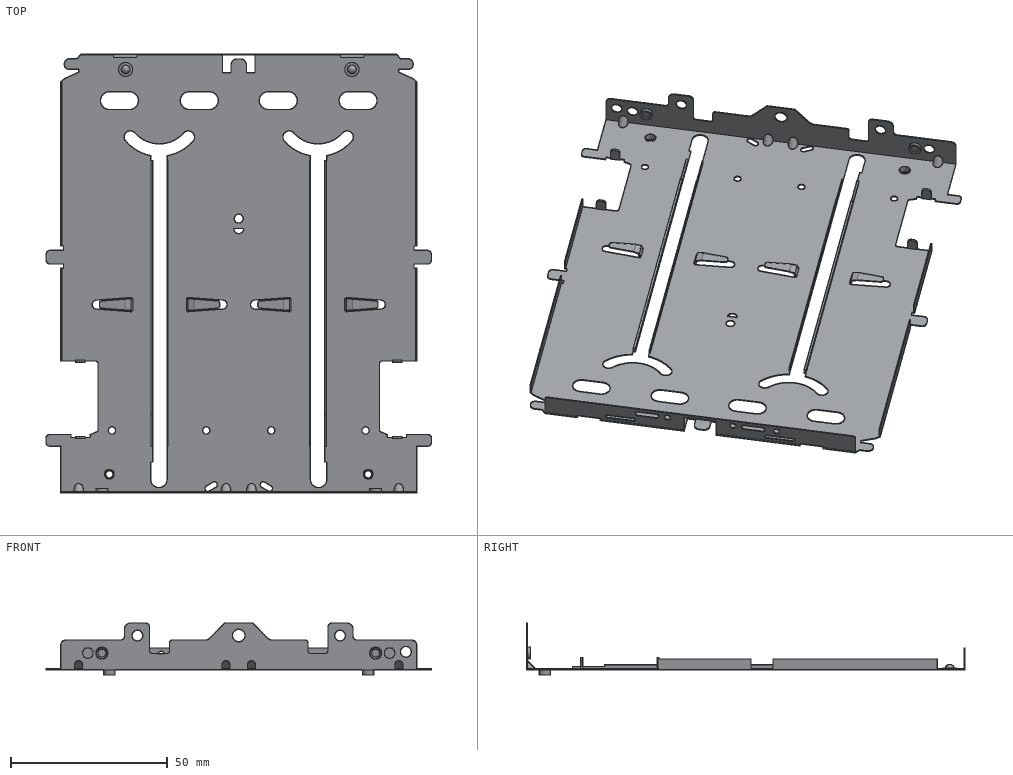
import cadquery as cq
import math


sheet = 0.35
tray_length = 140.0
body_half = 56.8
tray_width = 123.0
tab_reach = tray_width / 2
front_flange_height = 9.5
ear_top = 15.0
rear_flange_height = 7.0
rear_half = 50.4
side_flange_height = 3.5

cutout_front = 18.6
cutout_rear = 42.0
cutout_x = 45.0
lug_recess_y = 17.6
lug_x = 50.5
lug_thickness = 0.7
relief_front = 71.7
relief_rear = 78.7
relief_x = body_half - 0.8
mid_tab_front = 73.0
mid_tab_rear = 77.4
side_flange_rear = 131.2

slot_x = 25.5
slot_width = 5.2
slot_half_width = slot_width / 2
slot_front = 1.7
arm_x = 25.3
arm_y = 109.3
arm_half_width = 2.0
arm_radius = 12.3
arm_reach = 9.2
outer_lip = 0.7
rail_height = 1.7
rail_low_height = 1.1
rail_rear = 106.1
rail_front = 24.9
rail_low_front = 14.7
rail_step_front = 9.8

tongue_y = 60.0
outer_root_x = 34.2
inner_root_x = 16.4
lance_length = 12.6
root_half = 2.2
tip_radius = 1.4
tongue_end = 10.4
tongue_gap = 0.3
tongue_rise = 1.8
knee_rise = 1.4
knee_run = 0.5
riser_run = 2.1

gusset_positions = (4.0, 51.1)
gusset_radius = 1.5
gusset_recess_radius = 1.3
dimple_x = 43.7
flange_row_z = 5.3
dimple_radius = 2.0
dimple_mouth = 1.8
dimple_floor = 1.3
dimple_depth = 1.0
dome_x = 36.1
dome_y = 135.1
dome_pad_radius = 2.2
dome_pad_top = sheet + 0.3
stud_x = 41.3
stud_y = 5.9
stud_radius = 1.8
stud_depth = 1.7
stud_mouth = 1.5
stud_bore = 1.1


def mirrored(points):
    """Close a right-hand outline with its mirror image about X = 0."""
    return points + [(-x, y, r) for x, y, r in reversed(points)]


def rounded_outline(plane, points):
    """Closed wire through (x, y, corner radius) points."""
    trimmed = []
    count = len(points)
    for i, (x, y, radius) in enumerate(points):
        corner = cq.Vector(x, y)
        if radius == 0:
            trimmed.append((corner, corner, corner))
            continue
        before = (cq.Vector(*points[i - 1][:2]) - corner).normalized()
        after = (cq.Vector(*points[(i + 1) % count][:2]) - corner).normalized()
        half_angle = before.getAngle(after) / 2
        setback = radius / math.tan(half_angle)
        bisector = (before + after).normalized()
        middle = corner + bisector * (radius / math.sin(half_angle) - radius)
        trimmed.append((corner + before * setback, middle, corner + after * setback))
    wire = cq.Workplane(plane).moveTo(trimmed[0][2].x, trimmed[0][2].y)
    for start, middle, end in trimmed[1:] + trimmed[:1]:
        wire = wire.lineTo(start.x, start.y)
        if start != end:
            wire = wire.threePointArc((middle.x, middle.y), (end.x, end.y))
    return wire.close()


def block(x0, x1, y0, y1, z0, z1):
    return cq.Workplane("XY").box(x1 - x0, y1 - y0, z1 - z0, centered=False).translate((x0, y0, z0))


def both_sides(solid):
    return solid.union(solid.mirror("YZ"))


def plate_disc(x, y, radius, z0, z1):
    return cq.Workplane("XY", origin=(x, y, z0)).circle(radius).extrude(z1 - z0)


def plate_hole(x, y, radius):
    return plate_disc(x, y, radius, -sheet, 2 * sheet)


def plate_slot(x, y, length, width, angle=0):
    slot = cq.Workplane("XY", origin=(x, y, -sheet)).slot2D(length, width, angle)
    return slot.extrude(3 * sheet)


def flange_disc(x, z, radius, y0, y1):
    return cq.Workplane("XZ", origin=(x, y0, z)).circle(radius).extrude(y0 - y1)


def front_hole(x, z, radius):
    return flange_disc(x, z, radius, -sheet, 2 * sheet)


def rear_hole(x, z, radius):
    return flange_disc(x, z, radius, tray_length - 2 * sheet, tray_length + sheet)


def rear_slot(x, z, length, width):
    slot = cq.Workplane("XZ", origin=(x, tray_length + sheet, z)).slot2D(length, width)
    return slot.extrude(3 * sheet)


def base_plate():
    right_edge = [
        (body_half, 0, 0),
        (body_half, 14.8, 0),
        (tab_reach, 14.8, 1.1),
        (tab_reach, cutout_front, 1.1),
        (53.5, cutout_front, 0),
        (53.5, lug_recess_y, 0),
        (47.5, lug_recess_y, 0),
        (47.5, cutout_front, 0),
        (cutout_x, 19.6, 0.7),
        (cutout_x, cutout_rear, 0.8),
        (body_half, cutout_rear, 0),
        (body_half, relief_front, 0),
        (relief_x, relief_front, 0),
        (relief_x, mid_tab_front, 0),
        (tab_reach, mid_tab_front, 1.4),
        (tab_reach, mid_tab_rear, 1.4),
        (relief_x, mid_tab_rear, 0),
        (relief_x, relief_rear, 0),
        (body_half, relief_rear, 0),
        (body_half, side_flange_rear, 0),
        (55.5, 132.3, 0),
        (51.1, 134.3, 0),
        (51.1, 135.1, 0),
        (55.7, 135.1, 1.5),
        (55.7, 138.6, 1.8),
        (51.5, 138.6, 0),
        (rear_half, tray_length, 0),
    ]
    return rounded_outline("XY", mirrored(right_edge)).extrude(sheet)


def y_slot():
    """Long stem closed by a round front end, with a curved cross arm at the rear."""
    stem_start = slot_front + slot_half_width
    stem = block(slot_x - slot_half_width, slot_x + slot_half_width, stem_start, arm_y, -sheet, 2 * sheet)
    stem = stem.union(plate_hole(slot_x, stem_start, slot_half_width))
    centre_y = arm_y + arm_radius
    arm = plate_hole(arm_x, centre_y, arm_radius + arm_half_width)
    arm = arm.cut(plate_hole(arm_x, centre_y, arm_radius - arm_half_width))
    end_drop = math.sqrt(arm_radius**2 - arm_reach**2)
    wedge = (
        cq.Workplane("XY", origin=(arm_x, centre_y, -sheet))
        .polyline([(0, 0), (-2 * arm_reach, -2 * end_drop), (2 * arm_reach, -2 * end_drop)])
        .close()
        .extrude(3 * sheet)
    )
    arm = arm.intersect(wedge)
    for side in (-1, 1):
        arm = arm.union(plate_hole(arm_x + side * arm_reach, centre_y - end_drop, arm_half_width))
    return stem.union(arm)


def slot_rails():
    """Upstanding lips along both long edges of the stem, stepped down at the front."""
    outer = slot_x + slot_half_width
    inner = slot_x - slot_half_width
    rails = cq.Workplane("XY")
    for x0, x1 in ((outer - outer_lip, outer), (inner - sheet, inner)):
        rails = rails.union(block(x0, x1, rail_front, rail_rear, 0, rail_height))
        rails = rails.union(block(x0, x1, rail_low_front, rail_front, 0, rail_low_height))
    return rails.union(block(outer - outer_lip, outer, rail_step_front, rail_low_front, 0, sheet))


def plate_openings():
    cuts = y_slot()
    for x in (12.6, 38.1):
        cuts = cuts.union(plate_slot(x, 125.2, length=12.0, width=5.6))
    for x in (10.4, 40.5):
        cuts = cuts.union(plate_hole(x, 19.9, radius=1.1))
    cuts = cuts.union(plate_slot(8.8, 2.0, length=4.2, width=1.8, angle=-30))
    cuts = both_sides(cuts)
    cuts = cuts.union(plate_hole(0, 87.5, radius=1.4))
    straight_y = 84.3
    radius = 1.5
    front_half = block(-radius, radius, straight_y - radius, straight_y, -sheet, 2 * sheet)
    return cuts.union(plate_hole(0, straight_y, radius).intersect(front_half))


def lance_opening():
    """Tapered opening with its wide end at the origin and round tip toward +X."""
    tip_x = lance_length - tip_radius
    outline = cq.Workplane("XY", origin=(0, 0, -sheet)).moveTo(0, -root_half).lineTo(tip_x, -tip_radius)
    outline = outline.threePointArc((lance_length, 0), (tip_x, tip_radius)).lineTo(0, root_half).close()
    return outline.extrude(3 * sheet)


def lance_tongue():
    """Tongue bent up at the wide end, then running level and narrowing to a free end."""
    profile = cq.Workplane("XZ", origin=(0, root_half, 0)).polyline([
        (-sheet, 0),
        (sheet, 0),
        (knee_run, knee_rise),
        (riser_run, tongue_rise),
        (tongue_end, tongue_rise),
        (tongue_end, tongue_rise + sheet),
        (riser_run, tongue_rise + sheet),
        (knee_run - sheet, knee_rise + sheet),
        (-sheet, sheet),
    ]).close().extrude(2 * root_half)
    root = root_half - tongue_gap
    tip = tip_radius - tongue_gap
    corner = 0.8
    plan = rounded_outline("XY", [
        (-sheet, -root, 0),
        (tongue_end, -tip, corner),
        (tongue_end, tip, corner),
        (-sheet, root, 0),
    ]).extrude(2 * tongue_rise)
    return profile.intersect(plan)


def place_lances(shape):
    """Four copies: the outer pair points outward, the inner pair toward the middle."""
    outer = shape.translate((outer_root_x, tongue_y, 0))
    inner = shape.mirror("YZ").translate((inner_root_x, tongue_y, 0))
    return both_sides(outer.union(inner))


def front_flange():
    shoulder = front_flange_height
    ear_outer = 36.5
    ear_inner = 28.4
    notch_inner = 22.1
    notch_floor = 5.2
    right_edge = [
        (body_half, 0, 0),
        (body_half, shoulder, 1.7),
        (ear_outer, shoulder, 1.1),
        (ear_outer, ear_top, 2.1),
        (ear_inner, ear_top, 1.4),
        (ear_inner, notch_floor, 0.8),
        (notch_inner, notch_floor, 0.8),
        (notch_inner, shoulder, 0.8),
        (9.8, shoulder, 2.1),
        (4.5, ear_top, 0),
    ]
    flange = rounded_outline("XZ", mirrored(right_edge)).extrude(-sheet)
    ear_hole_z = 10.9
    pairs = front_hole(32.3, ear_hole_z, radius=1.7).union(front_hole(48.2, flange_row_z, radius=1.7))
    flange = flange.cut(both_sides(pairs))
    flange = flange.cut(front_hole(0, ear_hole_z, radius=2.0))
    return flange.cut(front_hole(53.3, 5.7, radius=1.7))


def rear_flange():
    right_edge = [(rear_half, 0, 0), (rear_half, rear_flange_height, 0.8)]
    flange = rounded_outline("XZ", mirrored(right_edge)).extrude(-sheet)
    flange = flange.translate((0, tray_length - sheet, 0))
    upper_row_z = 4.9
    hole_radius = 1.0
    cuts = rear_slot(17.2, upper_row_z, length=7.5, width=1.7)
    cuts = cuts.union(rear_slot(25.9, 2.1, length=9.8, width=1.1))
    cuts = cuts.union(rear_hole(10.6, upper_row_z, hole_radius))
    flange = flange.cut(both_sides(cuts))
    return flange.cut(rear_hole(-24.8, upper_row_z, hole_radius))


def bend_reliefs():
    """Narrow openings along the rear bend."""
    return both_sides(block(32.5, 39.9, tray_length - 1.0, tray_length, 0, 0.8))


def rear_notch():
    """Window through plate and rear flange, around a rounded locating tongue."""
    half = 5.2
    front = 134.1
    strip = 1.1
    window = block(-half, half, front, tray_length + sheet, -sheet, rear_flange_height - strip)
    right_edge = [(2.5, front, 0), (2.5, 138.5, 2.0)]
    tongue = rounded_outline("XY", mirrored(right_edge)).extrude(sheet)
    return window.cut(tongue)


def side_flanges():
    inner = body_half - sheet
    front = block(inner, body_half, cutout_rear, relief_front, 0, side_flange_height)
    rear = block(inner, body_half, relief_rear, side_flange_rear, 0, side_flange_height)
    return both_sides(front.union(rear))


def cutout_lugs():
    """Small round-topped lugs standing on the front and rear edges of each side cutout."""
    half = 1.5
    height = 3.9
    outline = rounded_outline("XZ", mirrored([(half, 0, 0), (half, height, 1.3)]))
    lug = outline.extrude(-lug_thickness)
    front = lug.translate((lug_x, lug_recess_y - sheet, 0))
    rear = lug.translate((lug_x, cutout_rear + sheet - lug_thickness, 0))
    return both_sides(front.union(rear))


def bend_gussets(radius):
    """Round ribs crossing the front bend at 45 degrees."""
    axis_z = 1.1
    half_length = 11.2
    reach = 7.0
    ribs = cq.Workplane("XY")
    for x in gusset_positions:
        rib = cq.Workplane("XY").circle(radius).extrude(half_length, both=True)
        rib = rib.rotate((0, 0, 0), (1, 0, 0), 45).translate((x, 0, axis_z))
        ribs = ribs.union(rib.intersect(block(x - radius, x + radius, 0, reach, 0, reach)))
    return both_sides(ribs)


def domes():
    """Small domes on round pads near the rear edge."""
    base_radius = 1.4
    height = 1.1
    ball_radius = (base_radius**2 + height**2) / (2 * height)
    ball_z = dome_pad_top + height - ball_radius
    ball = cq.Workplane("XY").sphere(ball_radius).translate((dome_x, dome_y, ball_z))
    cap = ball.intersect(plate_disc(dome_x, dome_y, dome_pad_radius, dome_pad_top, dome_pad_top + height))
    return both_sides(cap.union(plate_disc(dome_x, dome_y, dome_pad_radius, 0, dome_pad_top)))


def dimple_bosses():
    return both_sides(flange_disc(dimple_x, flange_row_z, dimple_radius, 0, dimple_depth + sheet))


def dimple_recesses():
    """Blind tapered recesses in the outer face of the front flange."""
    mouth = cq.Workplane("XZ", origin=(dimple_x, 0, flange_row_z)).circle(dimple_mouth)
    return both_sides(mouth.workplane(offset=-dimple_depth).circle(dimple_floor).loft())


def studs():
    return both_sides(plate_disc(stud_x, stud_y, stud_radius, -stud_depth, sheet))


def stud_bores():
    """Bores narrowing from the plate top, then straight to the end of the stud."""
    mouth = cq.Workplane("XY", origin=(stud_x, stud_y, sheet)).circle(stud_mouth)
    funnel = mouth.workplane(offset=-stud_depth).circle(stud_bore).loft()
    return both_sides(funnel.union(plate_disc(stud_x, stud_y, stud_bore, -stud_depth, sheet)))


tray = base_plate().cut(plate_openings())
tray = tray.union(both_sides(slot_rails()))
tray = tray.cut(place_lances(lance_opening())).union(place_lances(lance_tongue()))
tray = tray.union(front_flange()).union(rear_flange())
tray = tray.cut(rear_notch()).cut(bend_reliefs())
tray = tray.union(side_flanges()).union(cutout_lugs())
tray = tray.union(bend_gussets(gusset_radius)).cut(bend_gussets(gusset_recess_radius))
tray = tray.union(domes())
tray = tray.union(dimple_bosses()).cut(dimple_recesses())
tray = tray.union(studs()).cut(stud_bores())

result = tray